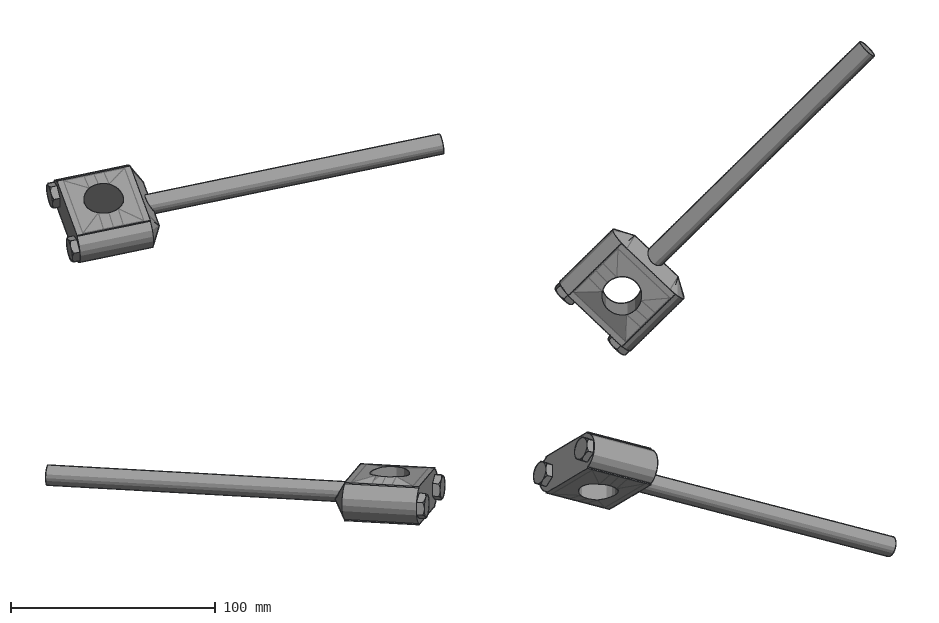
import cadquery as cq
import math

width = 49.0
length = 193.7
height = 22.9

side_radius = 9.7
side_center_x = width / 2 - side_radius
block_half_length = 18.5
hole_radius = 9.7

wedge_half_angle = 60.0
wedge_length = side_radius / math.tan(math.radians(wedge_half_angle))

pad_half_width = 18.4

crown_half_width = 17.8
crown_half_length = 15.5
crown_rise = height / 2 - side_radius
crown_corner_x = 8.3
crown_corner_y = 5.0

bolt_x = 18.2
bolt_across_flats = 11.0
bolt_head_height = 3.9
bolt_edge_drop = 0.8

rod_radius = 5.0
rod_start_y = block_half_length
rod_end_y = length - block_half_length - bolt_head_height


def make_block():
    """Bar with semicircular sides."""
    return (
        cq.Workplane("XZ", origin=(0, block_half_length, 0))
        .slot2D(width, 2 * side_radius)
        .extrude(2 * block_half_length)
    )


def make_wedge():
    """Roof-shaped back end: two sloping faces closed by a half cone at each side."""
    back_y = block_half_length
    roof = (
        cq.Workplane("YZ", origin=(-side_center_x, 0, 0))
        .polyline([(back_y, -side_radius), (back_y + wedge_length, 0), (back_y, side_radius)])
        .close()
        .extrude(2 * side_center_x)
    )
    for x in (-side_center_x, side_center_x):
        cone = cq.Solid.makeCone(
            side_radius, 0, wedge_length, cq.Vector(x, back_y, 0), cq.Vector(0, 1, 0)
        )
        roof = roof.union(cq.Workplane(obj=cone))
    return roof


def make_pads():
    """Square-edged slab that gives the block its flat top and bottom."""
    return cq.Workplane("XY").box(2 * pad_half_width, 2 * block_half_length, 2 * side_radius)


def crown_side_section(x, corner_z, ridge_z):
    """Section of the crown's side slopes at one X, with a slight ridge at Y = 0."""
    return cq.Wire.makePolygon(
        [
            cq.Vector(x, -crown_half_length, 0),
            cq.Vector(x, -crown_half_length, corner_z),
            cq.Vector(x, -crown_corner_y, corner_z),
            cq.Vector(x, 0, ridge_z),
            cq.Vector(x, crown_corner_y, corner_z),
            cq.Vector(x, crown_half_length, corner_z),
            cq.Vector(x, crown_half_length, 0),
        ],
        close=True,
    )


def make_crown():
    """Hipped crown on the top pad: front and back slopes meeting the side slopes."""
    end_slope = crown_rise / (crown_half_length - crown_corner_y)
    side_slope = crown_rise / (crown_half_width - crown_corner_x)
    ridge_slope = crown_rise / (crown_half_width - hole_radius)
    base_z = side_radius

    ends = (
        cq.Workplane("YZ", origin=(-crown_half_width, 0, 0))
        .polyline(
            [
                (-crown_half_length, 0),
                (-crown_half_length, base_z),
                (0, base_z + end_slope * crown_half_length),
                (crown_half_length, base_z),
                (crown_half_length, 0),
            ]
        )
        .close()
        .extrude(2 * crown_half_width)
    )
    outer_section = crown_side_section(crown_half_width, base_z, base_z)
    middle_section = crown_side_section(
        0, base_z + side_slope * crown_half_width, base_z + ridge_slope * crown_half_width
    )
    right_side = cq.Workplane(obj=cq.Solid.makeLoft([outer_section, middle_section], True))
    sides = right_side.union(right_side.mirror("YZ"))
    return ends.intersect(sides)


def make_bolt_head(x):
    """Hexagon head with two corners along Z and its outer corners turned down."""
    corner_radius = bolt_across_flats / math.sqrt(3)
    front = cq.Workplane("XZ", origin=(x, -block_half_length, 0))
    hexagon = (
        front.transformed(rotate=(0, 0, 90))
        .polygon(6, 2 * corner_radius)
        .extrude(bolt_head_height)
    )
    turned = (
        front.circle(corner_radius)
        .extrude(bolt_head_height)
        .faces("<Y")
        .chamfer(bolt_edge_drop, corner_radius - bolt_across_flats / 2)
    )
    return hexagon.intersect(turned)


def make_rod():
    """Plain round rod growing out of the wedge."""
    return (
        cq.Workplane("XZ", origin=(0, rod_start_y, 0))
        .circle(rod_radius)
        .extrude(rod_start_y - rod_end_y)
    )


crown = make_crown()
clamp = make_block().union(make_wedge()).union(make_pads())
clamp = clamp.union(crown).union(crown.mirror("XY"))

hole = cq.Workplane("XY", origin=(0, 0, -height)).circle(hole_radius).extrude(2 * height)
result = clamp.cut(hole).union(make_rod())
for head_x in (-bolt_x, bolt_x):
    result = result.union(make_bolt_head(head_x))